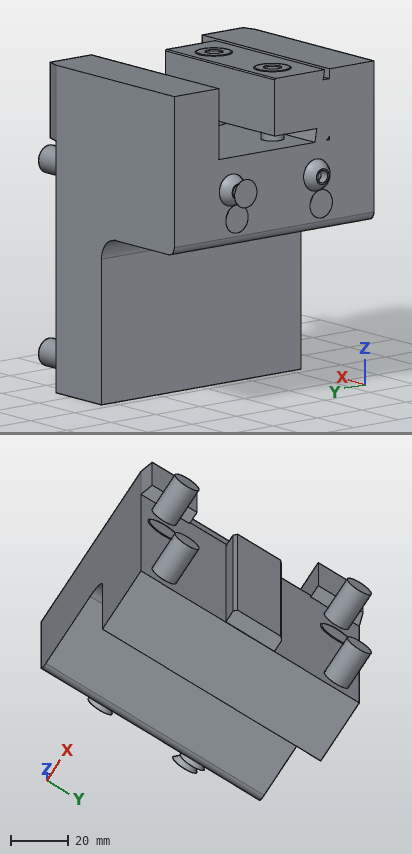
import cadquery as cq
import math

WIDTH = 90.0
TOP = 117.0
DEPTH = 65.0
ARM_HEIGHT = 57.0
LEG_FRONT = 40.0
NOSE_RADIUS = 3.0
INNER_RADIUS = 8.0

CHEEK = 20.0
CHANNEL_DEPTH = 25.3
CHANNEL_FLOOR = TOP - CHANNEL_DEPTH
CHEEK_INNER = WIDTH / 2 - CHEEK

LIP_HEIGHT = 27.1
LIP_REACH = 4.9
LIP_TAPER = 1.5

CLAMP_LENGTH = 60.0
CLAMP_WIDTH = 24.7
CLAMP_CHAMFER = 0.5
CLAMP_UNDERSIDE = TOP - 20.5
CLAMP_EDGE_GAP = 2.2
GROOVE_DEPTH = 3.5
FOOT_WIDTH = 5.7
TOE_SIZE = 1.2
WEDGE_SLOPE = math.tan(math.radians(10))

HEAD_BASE_DIA = 13.1
HEAD_TOP_DIA = 12.2
HEAD_PROUD = 0.2

CAP_SCREW_X = (14.0, 46.1)
CAP_SCREW_Y = -10.7
CAP_SHANK_DIA = 8.0
CAP_SOCKET_DIA = 6.3
CAP_SOCKET_DEPTH = 0.5

NOZZLE_Y = (-19.0, 19.0)
NOZZLE_Z = TOP - 37.0
BALL_RADIUS = 6.0
BALL_INSET = 1.8
BALL_REACH = 3.5
NECK_RADIUS = 2.5
NECK_END = 4.8
FLARE_RADIUS = 5.0
FLARE_LENGTH = 2.7
NOZZLE_BORE_DIA = 4.5
PLUG_DROP = 9.8

KEY_WIDTH = 20.0
KEY_REACH = 5.9
KEY_BOTTOM = 0.4
KEY_TOP = 89.5
KEY_CHAMFER = 1.2
PIN_DIA = 10.0
PIN_REACH = 15.0
PIN_Y = 35.5
PIN_Z = (10.7, 79.6)
BOLT_HEAD_Z = TOP - 53.0

OVERLAP = 1.2


def box(x_range, y_range, z_range):
    """Block between the given limits."""
    size = [high - low for low, high in (x_range, y_range, z_range)]
    corner = (x_range[0], y_range[0], z_range[0])
    return cq.Workplane("XY").box(*size, centered=False).translate(corner)


def cylinder_x(diameter, x_start, x_end, y, z):
    """Cylinder along X."""
    plane = cq.Workplane("YZ", origin=(x_start, y, z))
    return plane.circle(diameter / 2).extrude(x_end - x_start)


def cylinder_z(diameter, x, y, z_start, z_end):
    """Cylinder along Z."""
    plane = cq.Workplane("XY", origin=(x, y, z_start))
    return plane.circle(diameter / 2).extrude(z_end - z_start)


def make_body():
    """L-shaped block with rounded nose and inner corner, and the channel cut through its top."""
    arm_bottom = TOP - ARM_HEIGHT
    outline = [
        (0, TOP),
        (DEPTH, TOP),
        (DEPTH, 0),
        (LEG_FRONT, 0),
        (LEG_FRONT, arm_bottom),
        (0, arm_bottom),
    ]
    body = cq.Workplane("XZ").polyline(outline).close().extrude(WIDTH / 2, both=True)
    body = body.edges(cq.NearestToPointSelector((0, 0, arm_bottom))).fillet(NOSE_RADIUS)
    body = body.edges(cq.NearestToPointSelector((LEG_FRONT, 0, arm_bottom))).fillet(INNER_RADIUS)
    channel = box((0, DEPTH), (-CHEEK_INNER, CHEEK_INNER), (CHANNEL_FLOOR, TOP))
    return body.cut(channel)


def make_lip(side):
    """Tapered extension of one cheek; side is +1 or -1 along Y."""
    outer = side * WIDTH / 2
    inner = side * CHEEK_INNER
    outline = [
        (DEPTH - OVERLAP, inner),
        (DEPTH + LIP_REACH, inner),
        (DEPTH + LIP_REACH, outer - side * LIP_TAPER),
        (DEPTH, outer),
        (DEPTH - OVERLAP, outer),
    ]
    plane = cq.Workplane("XY", origin=(0, 0, TOP - LIP_HEIGHT))
    return plane.polyline(outline).close().extrude(LIP_HEIGHT)


def make_clamp():
    """Wedge clamp with its relief groove, sloped foot and chamfered toe."""
    cheek = -CHEEK_INNER
    groove_edge = cheek + CLAMP_EDGE_GAP
    groove_floor = TOP - GROOVE_DEPTH
    foot_edge = cheek + FOOT_WIDTH
    foot_drift = WEDGE_SLOPE * (CLAMP_UNDERSIDE - CHANNEL_FLOOR)
    outline = [
        (cheek + CLAMP_WIDTH, TOP - CLAMP_CHAMFER),
        (cheek + CLAMP_WIDTH - CLAMP_CHAMFER, TOP),
        (groove_edge, TOP),
        (groove_edge + WEDGE_SLOPE * GROOVE_DEPTH, groove_floor),
        (cheek, groove_floor),
        (cheek, CHANNEL_FLOOR + TOE_SIZE),
        (cheek + TOE_SIZE, CHANNEL_FLOOR),
        (foot_edge + foot_drift, CHANNEL_FLOOR),
        (foot_edge, CLAMP_UNDERSIDE),
        (cheek + CLAMP_WIDTH, CLAMP_UNDERSIDE),
    ]
    return cq.Workplane("YZ").polyline(outline).close().extrude(CLAMP_LENGTH)


def make_head(base_center, direction):
    """Proud part of a screw head on a flat face."""
    cone = cq.Solid.makeCone(
        HEAD_BASE_DIA / 2,
        HEAD_TOP_DIA / 2,
        HEAD_PROUD,
        pnt=cq.Vector(*base_center),
        dir=cq.Vector(*direction),
    )
    return cq.Workplane(cone)


def add_cap_screw(part, x):
    """Cap screw through the clamp, with a round socket in its head."""
    head_top = TOP + HEAD_PROUD
    head = make_head((x, CAP_SCREW_Y, TOP), (0, 0, 1))
    shank_top = CLAMP_UNDERSIDE + OVERLAP
    shank = cylinder_z(CAP_SHANK_DIA, x, CAP_SCREW_Y, CHANNEL_FLOOR - OVERLAP, shank_top)
    socket = cylinder_z(CAP_SOCKET_DIA, x, CAP_SCREW_Y, head_top - CAP_SOCKET_DEPTH, head_top)
    return part.union(head).union(shank).cut(socket)


def make_ball(y):
    """Ball standing out of the front face and cut flat at its tip."""
    ball = cq.Workplane("XY").sphere(BALL_RADIUS).translate((BALL_INSET, y, NOZZLE_Z))
    span = 2 * BALL_RADIUS
    keep = box((-BALL_REACH, OVERLAP), (y - span, y + span), (NOZZLE_Z - span, NOZZLE_Z + span))
    return ball.intersect(keep)


def make_flare(neck_start, flare_start, y, z):
    """Neck along -X that opens into a cone; starts are X positions."""
    flare_end = flare_start - FLARE_LENGTH
    outline = [
        (neck_start, 0),
        (neck_start, NECK_RADIUS),
        (flare_start, NECK_RADIUS),
        (flare_end, FLARE_RADIUS),
        (flare_end, 0),
    ]
    flare = cq.Workplane("XY").polyline(outline).close().revolve(360, (0, 0, 0), (1, 0, 0))
    return flare.translate((0, y, z))


def make_key():
    """Upright key bar on the back face, chamfered along its outer edges."""
    key_y = (-KEY_WIDTH / 2, KEY_WIDTH / 2)
    key = box((DEPTH - OVERLAP, DEPTH + KEY_REACH), key_y, (KEY_BOTTOM, KEY_TOP))
    return key.faces(">X").edges("|Z").chamfer(KEY_CHAMFER)


result = make_body().union(make_clamp())
for screw_x in CAP_SCREW_X:
    result = add_cap_screw(result, screw_x)

open_y, nozzle_y = NOZZLE_Y
for ball_y in NOZZLE_Y:
    result = result.union(make_ball(ball_y))
    result = result.union(make_flare(OVERLAP, 0, ball_y, NOZZLE_Z - PLUG_DROP))
result = result.cut(cylinder_x(NOZZLE_BORE_DIA, -BALL_REACH, 0, open_y, NOZZLE_Z))
result = result.union(make_flare(-BALL_REACH + OVERLAP, -NECK_END, nozzle_y, NOZZLE_Z))

result = result.union(make_key())
for side in (-1, 1):
    pin_y = side * PIN_Y
    result = result.union(make_lip(side))
    for pin_z in PIN_Z:
        result = result.union(cylinder_x(PIN_DIA, DEPTH - OVERLAP, DEPTH + PIN_REACH, pin_y, pin_z))
    result = result.union(make_head((DEPTH, pin_y, BOLT_HEAD_Z), (1, 0, 0)))